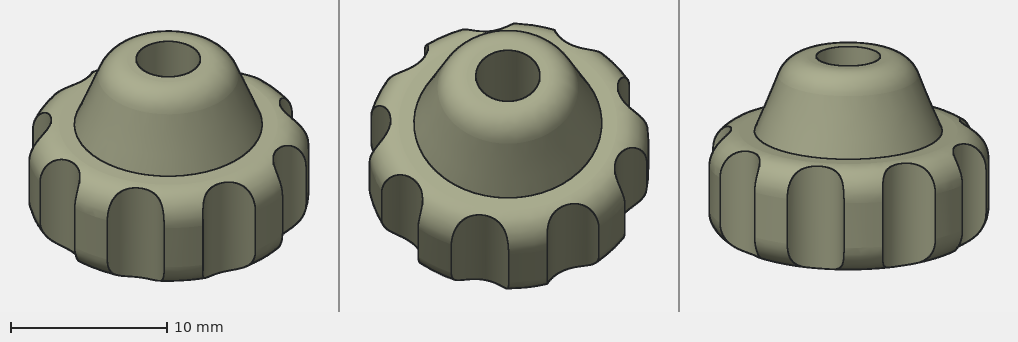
import cadquery as cq
import math

grip_radius = 9.0
grip_height = 7.0
edge_round = 2.0

total_height = 12.0
hub_base_radius = 6.0
hub_top_radius = 4.0

bore_diameter = 4.1
scallop_count = 9
scallop_radius = 2.0
scallop_center_radius = 9.5


def make_grip():
    """Disc with both rims rounded."""
    disc = cq.Workplane("XY").circle(grip_radius).extrude(grip_height)
    return disc.edges("%CIRCLE").fillet(edge_round)


def make_hub():
    """Cone standing on the disc, with a rounded top edge."""
    hub_height = total_height - grip_height
    taper = math.degrees(math.atan2(hub_base_radius - hub_top_radius, hub_height))
    cone = (
        cq.Workplane("XY", origin=(0, 0, grip_height))
        .circle(hub_base_radius)
        .extrude(hub_height, taper=taper)
    )
    return cone.faces(">Z").edges().fillet(edge_round)


def make_scallops():
    """Ring of vertical cutters, the first one on the +X axis."""
    return (
        cq.Workplane("XY")
        .polarArray(scallop_center_radius, 0, 360, scallop_count)
        .circle(scallop_radius)
        .extrude(grip_height)
    )


bore = cq.Workplane("XY").circle(bore_diameter / 2).extrude(total_height)

result = make_grip().union(make_hub()).cut(make_scallops()).cut(bore)